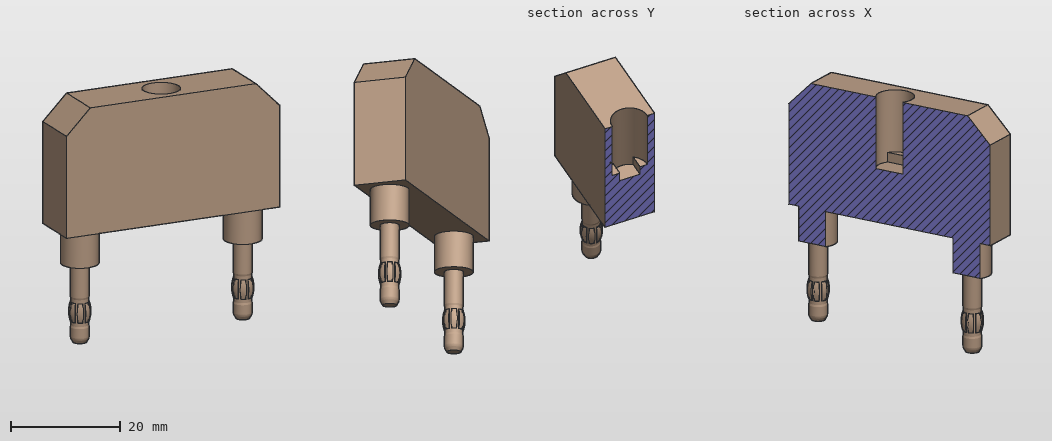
import cadquery as cq
import math

overall_height = 46.25
body_width = 10.0
body_length = 43.2
body_chamfer = 4.8

pin_spacing = 33.0
pin_length = 21.9
body_height = overall_height - pin_length
sleeve_radius = 3.55
sleeve_length = 6.75
shank_radius = 1.75

waist_radius = 1.65
waist_top = -13.15
waist_bottom = -19.0
waist_taper = 0.35
barrel_top = -14.15
barrel_bottom = -17.85
barrel_end_radius = 1.75
barrel_mid_radius = 2.1
slot_count = 8
slot_width = 0.45

tip_radius = 1.3
tip_cone_height = 0.85
tip_blend_radius = 1.05

bore_radius = 3.5
bore_depth = 12.02
flats_width = 4.05
flats_depth = 1.85


def make_body():
    """Block with its two upper end edges chamfered."""
    block = cq.Workplane("XY").box(body_width, body_length, body_height, centered=(True, True, False))
    return block.faces(">Z").edges("|X").chamfer(body_chamfer)


def make_socket():
    """Round bore whose floor is stepped down between two flats."""
    bore_floor = body_height - bore_depth
    bore = cq.Workplane("XY").workplane(offset=bore_floor).circle(bore_radius).extrude(bore_depth)
    flats = cq.Workplane("XY").workplane(offset=bore_floor).box(
        flats_width, 2 * bore_radius, flats_depth, centered=(True, True, False)
    )
    step = bore.intersect(flats).translate((0, 0, -flats_depth))
    return bore.union(step)


def make_core():
    """Turned pin on the Z axis without its lamellae."""
    tip_angle = math.atan2(shank_radius - tip_radius, tip_cone_height)
    tangent_length = tip_blend_radius * math.tan(tip_angle / 2)
    cone_start = tip_cone_height - pin_length
    blend_end = (
        shank_radius - tangent_length * math.sin(tip_angle),
        cone_start - tangent_length * math.cos(tip_angle),
    )
    return (
        cq.Workplane("XZ")
        .moveTo(0, 0)
        .lineTo(sleeve_radius, 0)
        .lineTo(sleeve_radius, -sleeve_length)
        .lineTo(shank_radius, -sleeve_length)
        .lineTo(shank_radius, waist_top)
        .lineTo(waist_radius, waist_top - waist_taper)
        .lineTo(waist_radius, waist_bottom + waist_taper)
        .lineTo(shank_radius, waist_bottom)
        .lineTo(shank_radius, cone_start + tangent_length)
        .tangentArcPoint(blend_end, relative=False)
        .lineTo(tip_radius, -pin_length)
        .lineTo(0, -pin_length)
        .close()
        .revolve(360, (0, 0, 0), (0, 1, 0))
    )


def make_lamellae():
    """Barrel-shaped ring split into strips by evenly spaced radial slots."""
    barrel_middle = (barrel_top + barrel_bottom) / 2
    ring = (
        cq.Workplane("XZ")
        .moveTo(0, barrel_top)
        .lineTo(barrel_end_radius, barrel_top)
        .threePointArc((barrel_mid_radius, barrel_middle), (barrel_end_radius, barrel_bottom))
        .lineTo(0, barrel_bottom)
        .close()
        .revolve(360, (0, 0, 0), (0, 1, 0))
    )
    for index in range(slot_count // 2):
        blade = (
            cq.Workplane("XY").workplane(offset=barrel_bottom)
            .rect(slot_width, 2 * sleeve_radius).extrude(barrel_top - barrel_bottom)
            .rotate((0, 0, 0), (0, 0, 1), index * 360 / slot_count)
        )
        ring = ring.cut(blade)
    return ring


pin = make_core().union(make_lamellae())
result = make_body().cut(make_socket())
for side in (-1, 1):
    result = result.union(pin.translate((0, side * pin_spacing / 2, 0)))